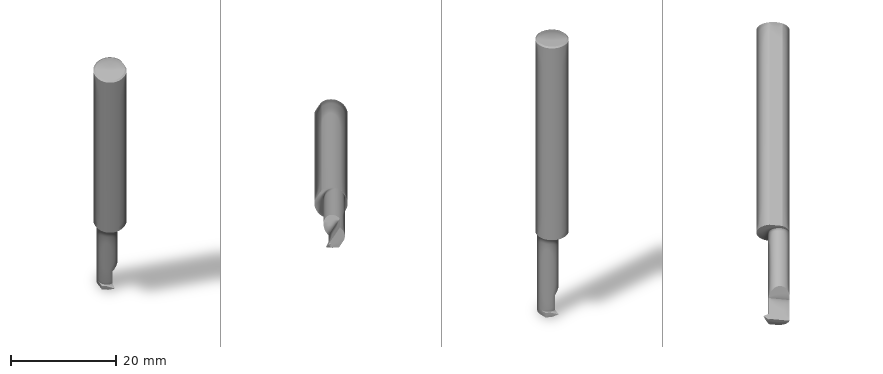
import cadquery as cq
import math

overall_length = 63.5
shank_diameter = 6.35
shank_radius = shank_diameter / 2
flat_distance = 2.925
shank_chamfer_radial = 0.35
shank_chamfer_axial = 0.2

neck_length = 19.05
neck_diameter = 4.07
neck_radius = neck_diameter / 2
neck_center_x = neck_radius - shank_radius
neck_right_x = neck_center_x + neck_radius

relief_height = 4.7
relief_angle = 40

neck_end_z = 0.17

tooth_tip_x = 1.85
tooth_tip_z = 0.68
tooth_top_z = 1.22
tooth_corner_x = 0.85
tooth_corner_start_x = 0.55
tooth_clearance_depth = 0.4
tooth_shoulder_x = neck_right_x
tooth_heel_left_x = -1.3
tooth_heel_right_x = 0.36


def make_shank():
    """Round shank with a chamfered top edge and a full-length flat on +Y."""
    shank = cq.Workplane("XY").workplane(offset=neck_length)
    shank = shank.circle(shank_radius).extrude(overall_length - neck_length)
    shank = shank.faces(">Z").edges().chamfer(shank_chamfer_axial, shank_chamfer_radial)
    beyond_flat = (
        cq.Workplane("XY")
        .box(shank_diameter, shank_diameter, overall_length, centered=(True, False, False))
        .translate((0, flat_distance, 0))
    )
    return shank.cut(beyond_flat)


def make_neck():
    """Offset round neck, halved behind the cutting face."""
    neck = cq.Workplane("XY").workplane(offset=neck_end_z).center(neck_center_x, 0)
    neck = neck.circle(neck_radius).extrude(neck_length - neck_end_z)

    relief_top = relief_height + neck_diameter * math.tan(math.radians(relief_angle))
    relief = (
        cq.Workplane("YZ")
        .polyline([(0, 0), (0, relief_height), (neck_diameter, relief_top), (neck_diameter, 0)])
        .close()
        .extrude(shank_diameter, both=True)
    )
    return neck.cut(relief)


def make_tooth():
    """V-shaped tooth, with clearance faces on its front and underside."""
    profile = (
        cq.Workplane("XZ")
        .polyline([
            (tooth_heel_left_x, neck_end_z),
            (tooth_corner_start_x, neck_end_z),
            (tooth_corner_x, 0),
            (tooth_tip_x, tooth_tip_z),
            (tooth_shoulder_x, tooth_top_z),
            (tooth_heel_left_x, tooth_top_z),
        ])
        .close()
        .extrude(neck_radius)
    )
    plan = (
        cq.Workplane("XY")
        .polyline([
            (tooth_heel_left_x, 0),
            (tooth_heel_left_x, -neck_radius),
            (tooth_heel_right_x, -neck_radius),
            (tooth_tip_x, 0),
        ])
        .close()
        .extrude(neck_length)
    )
    underside = (
        cq.Workplane("YZ")
        .polyline([
            (0, 0),
            (-tooth_clearance_depth, neck_end_z),
            (-neck_diameter, neck_end_z),
            (-neck_diameter, 0),
        ])
        .close()
        .extrude(shank_diameter, both=True)
    )
    return profile.intersect(plan).cut(underside)


result = make_shank().union(make_neck()).union(make_tooth())